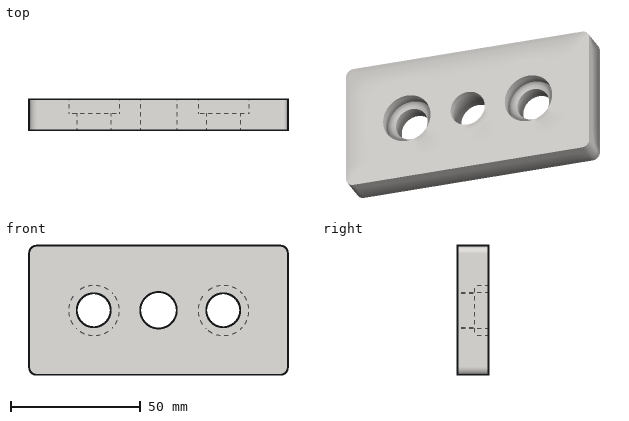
import cadquery as cq

plate_width = 100.0
plate_thickness = 12.0
plate_height = 50.0
corner_radius = 3.0

center_hole_diameter = 14.0
side_hole_diameter = 13.0
side_hole_offset = plate_width / 4

counterbore_diameter = 19.5
counterbore_depth = 5.5


def make_plate():
    """Plate centred on the origin with its four corners rounded."""
    plate = cq.Workplane("XY").box(plate_width, plate_thickness, plate_height)
    return plate.edges("|Y").fillet(corner_radius)


def make_bore(x, diameter, depth):
    """Cylinder of the given depth reaching inward from the +Y face."""
    face_plane = cq.Workplane("XZ", origin=(x, plate_thickness / 2, 0))
    return face_plane.circle(diameter / 2).extrude(depth)


result = make_plate().cut(make_bore(0, center_hole_diameter, plate_thickness))
for side in (-1, 1):
    hole_x = side * side_hole_offset
    result = result.cut(make_bore(hole_x, side_hole_diameter, plate_thickness))
    result = result.cut(make_bore(hole_x, counterbore_diameter, counterbore_depth))